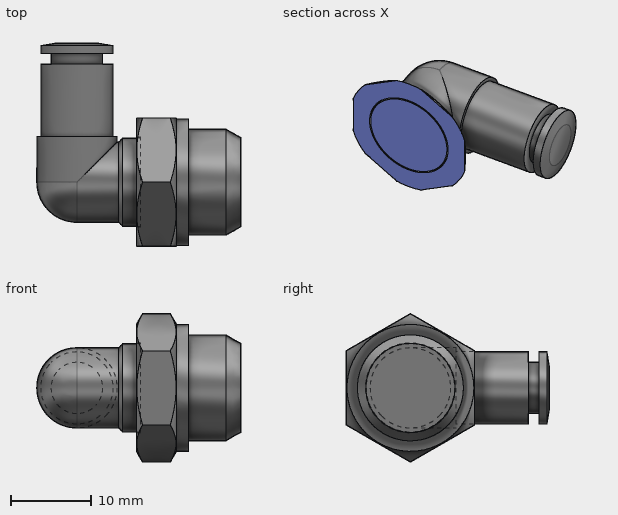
import cadquery as cq
import math


elbow_radius = 5.0
elbow_sleeve_end = 5.7

tube_radius = 4.5
neck_radius = 3.2
tube_end = 14.7
button_start = 16.0
button_rim = 17.0
button_end = 17.3
button_face_radius = 2.7

shoulder_radius = 5.5
shoulder_start = 5.2
shoulder_chamfer = shoulder_radius - elbow_radius
hex_start = 7.4
hex_thickness = 5.0
hex_end = hex_start + hex_thickness
flange_radius = 7.9
flange_end = 13.9
thread_radius = 6.6
thread_tip_radius = 5.55
thread_tip_length = 1.85
thread_end = 20.4
thread_tip_start = thread_end - thread_tip_length

hex_across_flats = 16.0
hex_corner_radius = hex_across_flats / 2 / math.cos(math.radians(30))
hex_face_radius = 7.9
hex_chamfer_angle = 30
hex_chamfer_length = (hex_corner_radius - hex_face_radius) * math.tan(math.radians(hex_chamfer_angle))

gap_width = 0.1
gap_depth = 0.5


def revolve_about_x(points):
    """Turn a closed outline of (x, radius) points about the X axis."""
    return cq.Workplane("XY").polyline(points).close().revolve(360, (0, 0, 0), (1, 0, 0))


def revolve_about_y(points):
    """Turn a closed outline of (radius, y) points about the Y axis."""
    return cq.Workplane("XY").polyline(points).close().revolve(360, (0, 0, 0), (0, 1, 0))


def make_tube_arm():
    """Sleeve, tube holder, neck and release button with a slightly conical face."""
    return revolve_about_y([
        (0, 0),
        (elbow_radius, 0),
        (elbow_radius, elbow_sleeve_end),
        (tube_radius, elbow_sleeve_end),
        (tube_radius, tube_end),
        (neck_radius, tube_end),
        (neck_radius, button_start),
        (tube_radius, button_start),
        (tube_radius, button_rim),
        (button_face_radius, button_end),
        (0, button_end),
    ])


def make_threaded_arm():
    """Elbow barrel, shoulder, flange and thread with a tapered tip."""
    return revolve_about_x([
        (0, 0),
        (0, elbow_radius),
        (shoulder_start, elbow_radius),
        (shoulder_start + shoulder_chamfer, shoulder_radius),
        (hex_start, shoulder_radius),
        (hex_start, flange_radius),
        (flange_end, flange_radius),
        (flange_end, thread_radius),
        (thread_tip_start, thread_radius),
        (thread_end, thread_tip_radius),
        (thread_end, 0),
    ])


def make_hexagon():
    """Hexagon with corners on Z and both ends turned down to a cone."""
    prism = (
        cq.Workplane("YZ", origin=(hex_start, 0, 0))
        .polygon(6, 2 * hex_corner_radius)
        .extrude(hex_thickness)
        .rotate((0, 0, 0), (1, 0, 0), 90)
    )
    turned_envelope = revolve_about_x([
        (hex_start, 0),
        (hex_start, hex_face_radius),
        (hex_start + hex_chamfer_length, hex_corner_radius),
        (hex_end - hex_chamfer_length, hex_corner_radius),
        (hex_end, hex_face_radius),
        (hex_end, 0),
    ])
    return prism.intersect(turned_envelope)


def make_shoulder_gap():
    """Thin ring to remove where the shoulder enters the hexagon."""
    return (
        cq.Workplane("YZ", origin=(hex_start, 0, 0))
        .circle(shoulder_radius + gap_width)
        .circle(shoulder_radius)
        .extrude(gap_depth)
    )


elbow_ball = cq.Workplane("XY").sphere(elbow_radius)

result = (
    make_threaded_arm()
    .union(make_tube_arm())
    .union(elbow_ball)
    .union(make_hexagon())
    .cut(make_shoulder_gap())
)